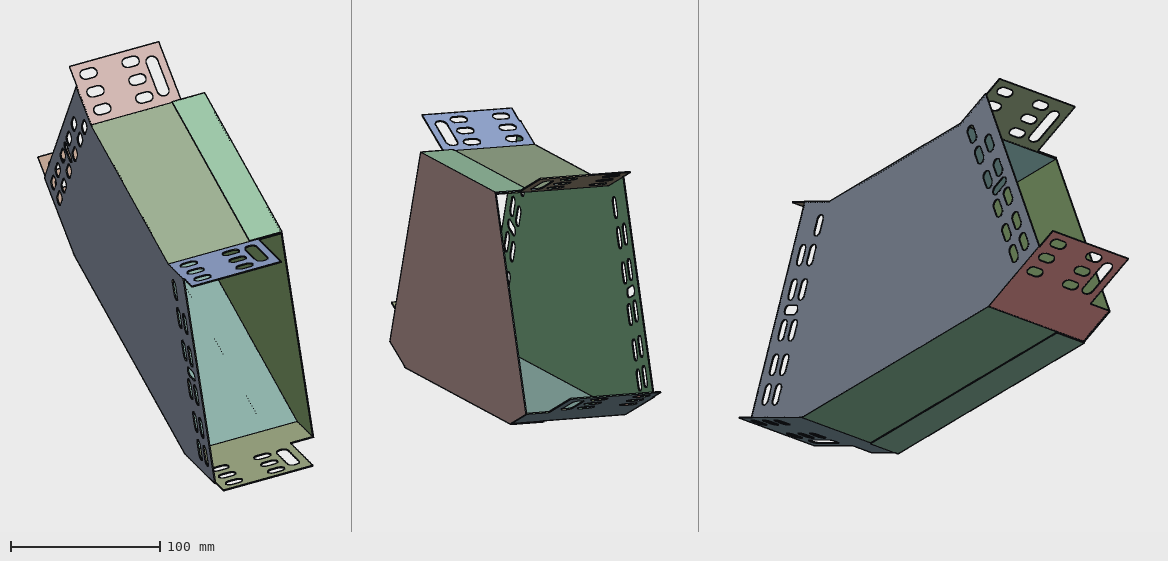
import cadquery as cq
import math

overall_length = 340.0
sheet = 0.8
bend_angle = 22.5
channel_height = 151.5
overall_depth = 82.0
lower_wing = 74.8
upper_wing = 44.5
wing_overhang = 15.3
notch_depth = 16.0
lip_depth = 23.5

wing_slot_length = 12.0
wing_slot_width = 7.0
wing_slot_columns = (8.5, 22.0, 35.7)
wing_slot_rows = (11.5, 41.8)
long_slot_length = 30.0
long_slot_width = 8.0
long_slot_from_tip = 23.5
long_slot_from_front = 55.7

plate_slot_length = 15.0
plate_slot_width = 6.8
outer_row_inset = 11.2
inner_row_inset = 23.0
cross_slot_inset = 15.3
row_middle = 75.5
outer_row_places = (-59.0, -38.5, -14.3, 14.3, 38.5)
inner_row_places = (-59.0, -38.5, -14.3, 14.3, 38.5, 59.0)

cos_bend = math.cos(math.radians(bend_angle))
sin_bend = math.sin(math.radians(bend_angle))
half_bend_tan = math.tan(math.radians(bend_angle / 2))
channel_depth = overall_depth - sheet
front_y = -overall_depth / 2
rear_y = front_y + channel_depth
bottom_z = -channel_height / 2
top_z = channel_height / 2
lower_bend_x = overall_length / 2 - lower_wing * cos_bend
upper_bend_x = lower_bend_x - (channel_height * sin_bend + upper_wing - lower_wing) / cos_bend
notch_length = upper_wing
cut_depth = 2 * sheet
wings = (
    (lower_bend_x, bottom_z, lower_wing),
    (upper_bend_x, top_z, upper_wing),
)


def along_wing(bend_x, bend_z, distance):
    """Point (x, z) on the outer face of a right-hand wing."""
    return (bend_x + distance * cos_bend, bend_z + distance * sin_bend)


def symmetric_slab(right_points, y_start, y_end):
    """Extrude along Y an XZ outline given by its right half, and mirrored to the left."""
    left_points = [(-x, z) for x, z in reversed(right_points)]
    outline = cq.Workplane("XZ", origin=(0, y_start, 0)).polyline(right_points + left_points).close()
    return outline.extrude(y_start - y_end)


def both_ends(right_tool):
    return right_tool.union(right_tool.mirror("YZ"))


def make_wall(bend_x, bend_z, wing_length, inward):
    """Bent sheet: a straight middle and two wings; inward is the Z direction of its thickness."""
    offset = inward * sheet
    tip_x, tip_z = along_wing(bend_x, bend_z, wing_length)
    return symmetric_slab(
        [
            (bend_x, bend_z),
            (tip_x, tip_z),
            (tip_x - offset * sin_bend, tip_z + offset * cos_bend),
            (bend_x - offset * half_bend_tan, bend_z + offset),
        ],
        front_y + sheet,
        rear_y,
    )


def wing_plane(bend_x, bend_z, wing_length):
    """Plane on a right-hand wing: x runs inward from the tip and y rearward from the front face."""
    tip_x, tip_z = along_wing(bend_x, bend_z, wing_length)
    return cq.Plane(
        origin=(tip_x, front_y, tip_z), xDir=(-cos_bend, 0, -sin_bend), normal=(sin_bend, 0, -cos_bend)
    )


def make_wing_cuts(bend_x, bend_z, wing_length):
    """Rear notch and slots of one wing, on both ends."""
    plane = wing_plane(bend_x, bend_z, wing_length)
    notch = (
        cq.Workplane(plane)
        .center(0, channel_depth)
        .rect(2 * notch_length, 2 * notch_depth)
        .extrude(cut_depth, both=True)
    )
    small_slots = (
        cq.Workplane(plane)
        .pushPoints([(column, row) for column in wing_slot_columns for row in wing_slot_rows])
        .slot2D(wing_slot_length, wing_slot_width, 90)
        .extrude(cut_depth, both=True)
    )
    long_slot = (
        cq.Workplane(plane)
        .center(long_slot_from_tip, long_slot_from_front)
        .slot2D(long_slot_length, long_slot_width)
        .extrude(cut_depth, both=True)
    )
    return both_ends(notch.union(small_slots).union(long_slot))


def make_front_plate():
    return symmetric_slab(
        [
            (lower_bend_x, bottom_z),
            along_wing(lower_bend_x, bottom_z, lower_wing - wing_overhang),
            along_wing(upper_bend_x, top_z, upper_wing - wing_overhang),
            (upper_bend_x, top_z),
        ],
        front_y,
        front_y + sheet,
    )


def make_plate_slots():
    """Two rows of slots along each end of the front plate, and one slot across the outer row."""
    corner_x, corner_z = along_wing(lower_bend_x, bottom_z, lower_wing - wing_overhang)
    plane = cq.Plane(origin=(corner_x, front_y, corner_z), xDir=(-sin_bend, 0, cos_bend), normal=(0, -1, 0))
    row_points = [(row_middle + place, outer_row_inset) for place in outer_row_places]
    row_points += [(row_middle + place, inner_row_inset) for place in inner_row_places]
    rows = (
        cq.Workplane(plane)
        .pushPoints(row_points)
        .slot2D(plate_slot_length, plate_slot_width)
        .extrude(cut_depth, both=True)
    )
    cross_slot = (
        cq.Workplane(plane)
        .center(row_middle, cross_slot_inset)
        .slot2D(plate_slot_length, plate_slot_width, 90)
        .extrude(cut_depth, both=True)
    )
    return both_ends(rows.union(cross_slot))


def make_channel():
    """Front plate with a lower and an upper wall behind it, whose wings reach past the plate ends."""
    channel = make_front_plate().cut(make_plate_slots())
    for (bend_x, bend_z, wing_length), inward in zip(wings, (1, -1)):
        wall = make_wall(bend_x, bend_z, wing_length, inward)
        channel = channel.union(wall.cut(make_wing_cuts(bend_x, bend_z, wing_length)))
    return channel


def make_cover():
    """Rear plate with a lip over the straight part of each wall."""
    plate = symmetric_slab(
        [
            (lower_bend_x, bottom_z),
            along_wing(lower_bend_x, bottom_z, lower_wing - notch_length),
            (upper_bend_x, top_z),
        ],
        rear_y,
        rear_y + sheet,
    )
    lip_front_y = rear_y + sheet - lip_depth
    lower_lip = symmetric_slab(
        [(lower_bend_x, bottom_z - sheet), (lower_bend_x, bottom_z)], lip_front_y, rear_y + sheet
    )
    upper_lip = symmetric_slab(
        [(upper_bend_x, top_z), (upper_bend_x, top_z + sheet)], lip_front_y, rear_y + sheet
    )
    return plate.union(lower_lip).union(upper_lip)


channel = make_channel()
cover = make_cover()

result = cq.Compound.makeCompound([channel.val(), cover.val()])